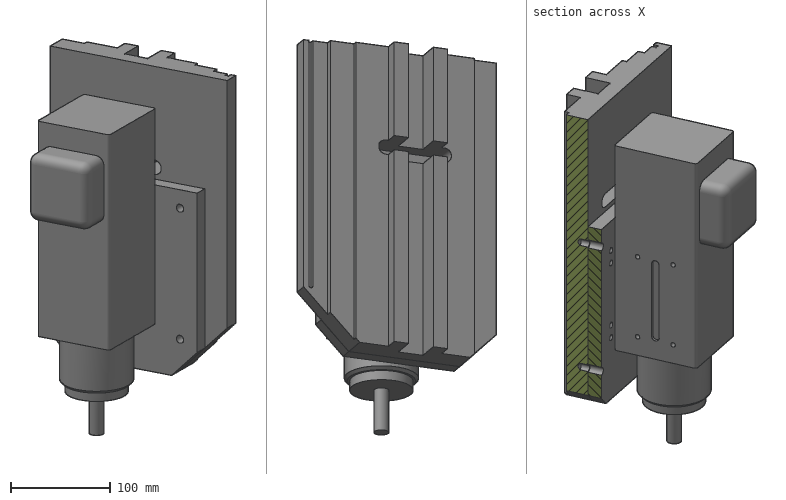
import cadquery as cq


total_height = 378.0
plate_bottom_z = 58.0

carriage_width = 180.0
carriage_thickness = 15.0
carriage_height = 200.0
corner_chamfer = 30.0
center_x = carriage_width / 2

base_width = 206.0
flange_thickness = 17.5
edge_thickness = 24.5
pad_thickness = 29.5
rib_thickness = 45.0
pad_half_width = 64.3
rib_span = 58.0
rib_gap = 27.0
base_right_chamfer = base_width - carriage_width + corner_chamfer

cross_slot_length = 78.5
cross_slot_height = 15.0
cross_slot_z = 270.3

groove_width = 4.0
groove_depth = 5.0
groove_x = 198.0
groove_end_z = plate_bottom_z + base_right_chamfer

screw_spacing = 140.0
screw_center_z = 168.2
clearance_diameter = 8.5
tapped_diameter = 6.8
tapped_depth = 9.5

mount_center_z = 175.8
pin_hole_diameter = 6.0
pin_hole_x = 41.5
pin_inner_spacing = 70.0
pin_outer_spacing = 98.0

housing_width = 84.0
housing_depth = 93.0
housing_top_z = 340.0
housing_height = 230.0
housing_edge_radius = 3.0
housing_bottom_z = housing_top_z - housing_height
housing_front_y = -carriage_thickness - housing_depth
spindle_y = -carriage_thickness - housing_depth / 2

nose_diameter = 75.0
nose_chamfer = 3.0
collar_diameter = 64.0
collar_bottom_z = 45.0
nose_bottom_z = 54.8
shaft_diameter = 15.0

terminal_size = 71.0
terminal_depth = 31.8
terminal_radius = 10.0
terminal_z = 279.7

side_slot_width = 8.5
side_slot_length = 90.0
side_slot_depth = 3.0
side_hole_diameter = 5.0
side_hole_depth = 9.5
side_hole_spacing_y = 40.0
side_hole_spacing_z = side_slot_length

drill_point_ratio = 0.3


def blind_drilling(start, direction, diameter, depth):
    """Cutting solid for a drilled hole with a conical end."""
    start = cq.Vector(*start)
    direction = cq.Vector(*direction)
    bore = cq.Solid.makeCylinder(diameter / 2, depth, start, direction)
    point = cq.Solid.makeCone(
        diameter / 2, 0, diameter * drill_point_ratio, start + direction * depth, direction
    )
    return bore.fuse(point)


def screw_positions():
    """X and Z of the four carriage screws."""
    half = screw_spacing / 2
    return [(center_x + i * half, screw_center_z + j * half) for i in (-1, 1) for j in (-1, 1)]


def joint_plane():
    """XZ workplane in the joint between the plates, with its normal toward -Y."""
    return cq.Workplane("XZ")


def make_base_plate():
    profile = [
        (0, 0),
        (base_width, 0),
        (base_width, flange_thickness),
        (carriage_width, flange_thickness),
        (carriage_width, edge_thickness),
        (center_x + pad_half_width, edge_thickness),
        (center_x + pad_half_width, pad_thickness),
        (center_x + rib_span / 2, pad_thickness),
        (center_x + rib_span / 2, rib_thickness),
        (center_x + rib_gap / 2, rib_thickness),
        (center_x + rib_gap / 2, flange_thickness),
        (center_x - rib_gap / 2, flange_thickness),
        (center_x - rib_gap / 2, rib_thickness),
        (center_x - rib_span / 2, rib_thickness),
        (center_x - rib_span / 2, pad_thickness),
        (center_x - pad_half_width, pad_thickness),
        (center_x - pad_half_width, edge_thickness),
        (0, edge_thickness),
    ]
    plate = (
        cq.Workplane("XY", origin=(0, 0, plate_bottom_z))
        .polyline(profile)
        .close()
        .extrude(total_height - plate_bottom_z)
    )

    left_corner = [
        (0, plate_bottom_z),
        (corner_chamfer, plate_bottom_z),
        (0, plate_bottom_z + corner_chamfer),
    ]
    right_corner = [
        (base_width, plate_bottom_z),
        (base_width - base_right_chamfer, plate_bottom_z),
        (base_width, plate_bottom_z + base_right_chamfer),
    ]
    for corner in (left_corner, right_corner):
        plate = plate.cut(joint_plane().polyline(corner).close().extrude(-rib_thickness))

    cross_slot = (
        joint_plane()
        .center(center_x, cross_slot_z)
        .slot2D(cross_slot_length, cross_slot_height)
        .extrude(-rib_thickness)
    )

    groove_length = total_height - groove_end_z + groove_width
    groove = (
        cq.Workplane("XZ", origin=(groove_x, flange_thickness, groove_end_z + groove_length / 2))
        .slot2D(groove_length, groove_width, 90)
        .extrude(groove_depth)
    )
    plate = plate.cut(cross_slot).cut(groove)

    for x, z in screw_positions():
        plate = plate.cut(
            cq.Workplane(blind_drilling((x, 0, z), (0, 1, 0), tapped_diameter, tapped_depth))
        )
    return plate


def make_carriage_plate():
    plate = (
        cq.Workplane("XY")
        .box(carriage_width, carriage_thickness, carriage_height, centered=False)
        .translate((0, -carriage_thickness, plate_bottom_z))
    )
    plate = plate.edges("|Y and <Z").chamfer(corner_chamfer)

    screw_holes = (
        joint_plane()
        .pushPoints(screw_positions())
        .circle(clearance_diameter / 2)
        .extrude(carriage_thickness)
    )
    pin_positions = [
        (pin_hole_x, mount_center_z + side * spacing / 2)
        for spacing in (pin_inner_spacing, pin_outer_spacing)
        for side in (-1, 1)
    ]
    pin_holes = (
        joint_plane()
        .pushPoints(pin_positions)
        .circle(pin_hole_diameter / 2)
        .extrude(carriage_thickness)
    )
    return plate.cut(screw_holes).cut(pin_holes)


def make_housing_block():
    """Rounded block with the slot and tapped holes in its left side."""
    left_x = center_x - housing_width / 2
    block = (
        cq.Workplane("XY", origin=(center_x, spindle_y, housing_bottom_z))
        .rect(housing_width, housing_depth)
        .extrude(housing_height)
        .edges("|Z")
        .fillet(housing_edge_radius)
    )
    slot = (
        cq.Workplane("YZ", origin=(left_x, spindle_y, mount_center_z))
        .slot2D(side_slot_length, side_slot_width, 90)
        .extrude(side_slot_depth)
    )
    block = block.cut(slot)
    for i in (-1, 1):
        for j in (-1, 1):
            y = spindle_y + i * side_hole_spacing_y / 2
            z = mount_center_z + j * side_hole_spacing_z / 2
            hole = blind_drilling((left_x, y, z), (1, 0, 0), side_hole_diameter, side_hole_depth)
            block = block.cut(cq.Workplane(hole))
    return block


def make_terminal_box():
    return (
        cq.Workplane("XZ", origin=(center_x, housing_front_y, terminal_z))
        .rect(terminal_size, terminal_size)
        .extrude(terminal_depth)
        .edges("|Y or <Y")
        .fillet(terminal_radius)
    )


def make_nose():
    """Turned nose, collar and shaft below the housing."""
    half_profile = [
        (0, 0),
        (shaft_diameter / 2, 0),
        (shaft_diameter / 2, collar_bottom_z),
        (collar_diameter / 2, collar_bottom_z),
        (collar_diameter / 2, nose_bottom_z),
        (nose_diameter / 2 - nose_chamfer, nose_bottom_z),
        (nose_diameter / 2, nose_bottom_z + nose_chamfer),
        (nose_diameter / 2, housing_bottom_z),
        (0, housing_bottom_z),
    ]
    return (
        cq.Workplane("XZ", origin=(center_x, spindle_y, 0))
        .polyline(half_profile)
        .close()
        .revolve(360, (0, 0), (0, 1))
    )


def make_spindle():
    return make_housing_block().union(make_terminal_box()).union(make_nose())


base_plate = make_base_plate()
carriage_plate = make_carriage_plate()
spindle = make_spindle()

bodies = [base_plate, carriage_plate, spindle]
result = cq.Compound.makeCompound([body.solids().val() for body in bodies])